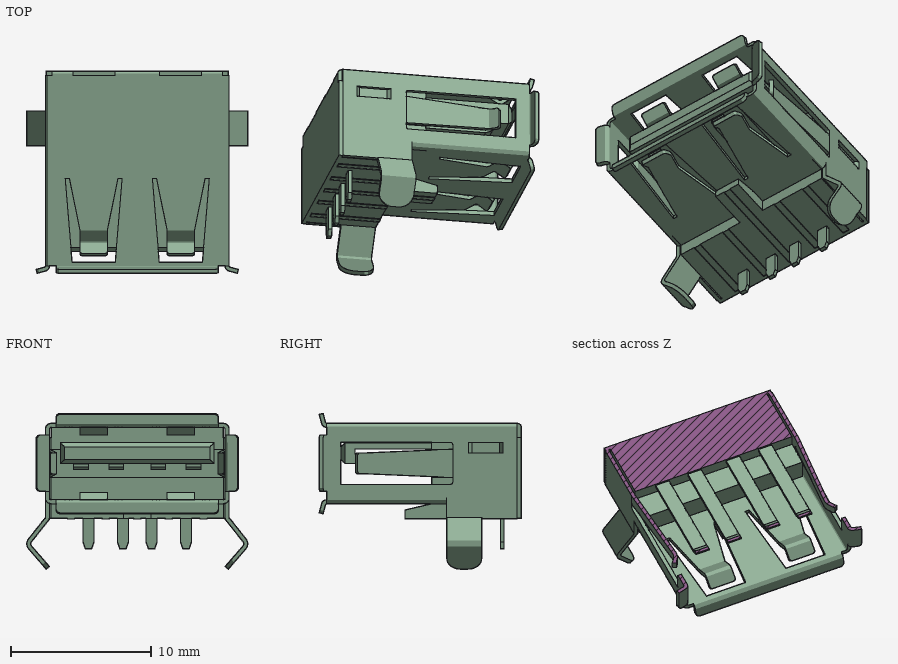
import cadquery as cq
import math


SHEET = 0.3
SHELL_WIDTH = 13.12
SHELL_DEPTH = 13.6
ROOF_TOP = 6.79
FLOOR_BOTTOM = 1.03
FLOOR_DEPTH = 8.57
SHELL_CORNER = 0.43
HALF_SHELL = SHELL_WIDTH / 2
WALL_INSIDE = HALF_SHELL - SHEET
CORNER_INSIDE = SHELL_CORNER - SHEET
ROOF_INSIDE = ROOF_TOP - SHEET
TUNNEL_HEIGHT = ROOF_TOP - FLOOR_BOTTOM
TUNNEL_MIDDLE = (ROOF_TOP + FLOOR_BOTTOM) / 2

BACK_TAB_WIDTH = 12.2
BACK_WIDTH = 13.02
BACK_SHOULDER = 5.77
FOLD_RELIEF_CENTRE = 3.09
FOLD_RELIEF_WIDTH = 3.02

LIP_REACH = 0.54
ROOF_LIP_RISE = 0.71
SIDE_LIP_RISE = 0.67
LIP_ANGLE = math.radians(75)
LIP_ROOT = 0.2
LIP_END_RADIUS = 0.3
ROOF_LIP_WIDTH = 11.58
SIDE_LIP_BOTTOM = 1.93
SIDE_LIP_TOP = 5.95

SPRING_CENTRE = 3.11
SPRING_ROOT = 6.23
SPRING_ROOT_WIDTH = 3.46
SPRING_KNEE = 2.6
SPRING_CREST = 1.65
SPRING_TIP = 0.8
SPRING_TIP_WIDTH = 1.98
SPRING_DIP = 0.59
SPRING_TIP_DIP = 0.0
SPRING_BEND = 0.3
SPRING_CORNER = 0.2
SPRING_SLOT_FRONT = 0.26
SLOT_ROOT_WIDTH = 4.06
SLOT_FRONT_WIDTH = 3.07

WINDOW_FRONT = 1.02
WINDOW_BACK = 9.0
WINDOW_BOTTOM = 2.43
WINDOW_TOP = 5.42
WINDOW_RADIUS = 0.15
SIDE_SPRING_ROOT_HEIGHT = 2.04
SIDE_SPRING_TIP_HEIGHT = 1.5
SIDE_SPRING_CREST = 2.75
SIDE_SPRING_TIP = 2.13
SIDE_SPRING_DIP = 0.5
SIDE_SPRING_TIP_DIP = 0.08
SIDE_SPRING_BEND = 0.75

DIMPLE_FRONT = 10.12
DIMPLE_BACK = 12.6
DIMPLE_BOTTOM = 4.65
DIMPLE_TOP = 5.43
DIMPLE_SLOPE = 0.25
DIMPLE_DEPTH = 0.25

HOOK_FRONT = FLOOR_DEPTH
HOOK_WIDTH = 2.5
HOOK_SPREAD = 7.86
HOOK_KNEE = -1.83
HOOK_END_X = 6.385
HOOK_END_Z = -3.535
HOOK_BEND = 0.4
HOOK_END_RADIUS = 1.0

HOUSING_WIDTH = 12.3
HOUSING_FRONT = 7.49
LEDGE_FRONT = 5.58
LEDGE_SLOPE_START = 7.41
LEDGE_FRONT_TOP = 0.6
RECESS_BOTTOM = 2.93
RECESS_TOP = 4.9
RECESS_BACK = 9.3
LEDGE_WIDTH = 1.98
RIB_WIDTH = 0.52
RIB_HEIGHT = 0.06
RIB_CENTRES = (-4.73, -2.25, 0, 2.25, 4.73)

TONGUE_WIDTH = 10.98
TONGUE_FRONT = 1.02
TONGUE_TOP = 5.4
TONGUE_UNDERSIDE = 4.94
TONGUE_LIP_BOTTOM = 3.9
TONGUE_SHELF_TOP = 4.6
TONGUE_LIP_BACK = 2.04
TONGUE_CHAMFER = 0.3

CONTACT_CENTRES = (-4.02, -1.5, 1.5, 4.02)
CONTACT_WIDTH = 1.05
CONTACT_BOTTOM = 3.47
CONTACT_THICKNESS = 0.2
CONTACT_FRONT = 2.3
CONTACT_TIP_LENGTH = 0.5
CONTACT_TIP_RISE = 0.2
PIN_CENTRES = (-3.48, -1.02, 1.02, 3.48)
PIN_WIDTH = 0.8
PIN_TIP_WIDTH = 0.46
PIN_FRONT = 12.39
PIN_THICKNESS = 0.28
PIN_END = -2.17
PIN_TAPER_START = -1.7
PIN_ROOT = 0.5


def box(x_range, y_range, z_range):
    """Block between two limits on each axis."""
    size = [high - low for low, high in (x_range, y_range, z_range)]
    corner = (x_range[0], y_range[0], z_range[0])
    return cq.Workplane("XY").box(*size, centered=False).translate(corner)


def centred_box(width, y_range, z_range, x_centre=0):
    return box((x_centre - width / 2, x_centre + width / 2), y_range, z_range)


def both_sides(half):
    """Add the mirror image in the plane x = 0."""
    return half.union(half.mirror("YZ"))


def roof_and_floor(half):
    """Add the mirror image in the middle plane of the tunnel."""
    return half.union(half.mirror("XY", (0, 0, TUNNEL_MIDDLE)))


def bent_strip(points, bend_radius, width, across):
    """Strip of sheet along a mid-thickness path, with a round bend at each inner point."""
    corners = [cq.Vector(*point) for point in points]
    edges = []
    start = corners[0]
    for before, corner, after in zip(corners, corners[1:], corners[2:]):
        arriving = (corner - before).normalized()
        leaving = (after - corner).normalized()
        trim = bend_radius * math.tan(arriving.getAngle(leaving) / 2)
        arc_start = corner - arriving * trim
        arc_end = corner + leaving * trim
        edges.append(cq.Edge.makeLine(start, arc_start))
        edges.append(cq.Edge.makeTangentArc(arc_start, arriving, arc_end))
        start = arc_end
    edges.append(cq.Edge.makeLine(start, corners[-1]))
    path = cq.Wire.assembleEdges(edges)
    section = cq.Plane(origin=points[0], xDir=across, normal=(corners[1] - corners[0]).toTuple())
    return cq.Workplane(section).rect(width, SHEET).sweep(cq.Workplane(obj=path))


def round_end(strip, points, across, width, radius):
    """Round both corners at the far end of a strip, square to its last leg."""
    leg = cq.Vector(*points[-1]) - cq.Vector(*points[-2])
    normal = leg.cross(cq.Vector(*across)).normalized()
    flat = cq.Plane(origin=points[-1], xDir=leg.toTuple(), normal=normal.toTuple())
    diagonal = radius * math.sqrt(0.5)
    for side in (-1, 1):
        arc_centre_y = side * (width / 2 - radius)
        corner = cq.Workplane(flat).moveTo(0, side * width / 2).lineTo(-radius, side * width / 2)
        corner = corner.threePointArc((diagonal - radius, arc_centre_y + side * diagonal), (0, arc_centre_y))
        strip = strip.cut(corner.close().extrude(SHEET, both=True))
    return strip


def shell_body():
    outer = cq.Workplane("XZ").center(0, TUNNEL_MIDDLE).rect(SHELL_WIDTH, TUNNEL_HEIGHT)
    outer = outer.extrude(-FLOOR_DEPTH).edges("|Y").fillet(SHELL_CORNER)
    cover = centred_box(SHELL_WIDTH, (FLOOR_DEPTH, SHELL_DEPTH), (0, ROOF_TOP))
    cover = cover.edges("|Y and >Z").fillet(SHELL_CORNER)

    width_inside = SHELL_WIDTH - 2 * SHEET
    tunnel_inside = TUNNEL_HEIGHT - 2 * SHEET
    tunnel = cq.Workplane("XZ").center(0, TUNNEL_MIDDLE).rect(width_inside, tunnel_inside)
    tunnel = tunnel.extrude(-FLOOR_DEPTH).edges("|Y").fillet(CORNER_INSIDE)
    cavity = centred_box(width_inside, (FLOOR_DEPTH, SHELL_DEPTH), (0, ROOF_INSIDE))
    cavity = cavity.edges("|Y and >Z").fillet(CORNER_INSIDE)
    return outer.union(cover).cut(tunnel).cut(cavity)


def back_plate():
    depth = (SHELL_DEPTH, SHELL_DEPTH + SHEET)
    tab = centred_box(BACK_TAB_WIDTH, depth, (0, ROOF_TOP))
    fold = centred_box(BACK_TAB_WIDTH, depth, (ROOF_INSIDE, ROOF_TOP))
    bend = cq.Workplane("YZ", (-BACK_TAB_WIDTH / 2, SHELL_DEPTH, ROOF_INSIDE))
    bend = bend.circle(SHEET).extrude(BACK_TAB_WIDTH)
    plate = tab.cut(fold.cut(bend))
    plate = plate.union(centred_box(BACK_WIDTH, depth, (0, BACK_SHOULDER)))
    for centre in (-FOLD_RELIEF_CENTRE, FOLD_RELIEF_CENTRE):
        plate = plate.cut(centred_box(FOLD_RELIEF_WIDTH, depth, (ROOF_INSIDE, ROOF_TOP), centre))
    return plate


def lip_strip(rise, width):
    """Lip standing on the face z = 0, its bend starting at the mouth of the shell."""
    middle = -SHEET / 2
    end_outward = rise - SHEET / 2 * math.cos(LIP_ANGLE)
    end_y = -LIP_REACH + SHEET / 2 * math.sin(LIP_ANGLE)
    bend_y = end_y + (end_outward - middle) / math.tan(LIP_ANGLE)
    bend_radius = -bend_y / math.tan(LIP_ANGLE / 2)
    path = ((0, LIP_ROOT, middle), (0, bend_y, middle), (0, end_y, end_outward))
    strip = bent_strip(path, bend_radius, width, (1, 0, 0))
    return round_end(strip, path, (1, 0, 0), width, LIP_END_RADIUS)


def lips():
    roof_lip = lip_strip(ROOF_LIP_RISE, ROOF_LIP_WIDTH).translate((0, 0, ROOF_TOP))
    side_lip = lip_strip(SIDE_LIP_RISE, SIDE_LIP_TOP - SIDE_LIP_BOTTOM)
    side_lip = side_lip.rotate((0, 0, 0), (0, 1, 0), -90)
    side_lip = side_lip.translate((-HALF_SHELL, 0, (SIDE_LIP_TOP + SIDE_LIP_BOTTOM) / 2))
    return roof_and_floor(roof_lip).union(both_sides(side_lip))


def spring_slots():
    outline = (
        (-SLOT_ROOT_WIDTH / 2, SPRING_ROOT),
        (SLOT_ROOT_WIDTH / 2, SPRING_ROOT),
        (SLOT_FRONT_WIDTH / 2, SPRING_SLOT_FRONT),
        (-SLOT_FRONT_WIDTH / 2, SPRING_SLOT_FRONT),
    )
    slot = cq.Workplane("XY", (SPRING_CENTRE, 0, ROOF_INSIDE)).polyline(outline).close()
    return roof_and_floor(both_sides(slot.extrude(SHEET)))


def springs():
    level = ROOF_TOP - SHEET / 2
    path = (
        (SPRING_CENTRE, SPRING_ROOT, level),
        (SPRING_CENTRE, SPRING_KNEE, level),
        (SPRING_CENTRE, SPRING_CREST, level - SPRING_DIP),
        (SPRING_CENTRE, SPRING_TIP, level - SPRING_TIP_DIP),
    )
    strip = bent_strip(path, SPRING_BEND, SPRING_ROOT_WIDTH, (1, 0, 0))
    tip_end = SPRING_TIP - SHEET / 2
    outline = (
        (-SPRING_ROOT_WIDTH / 2, SPRING_ROOT),
        (SPRING_ROOT_WIDTH / 2, SPRING_ROOT),
        (SPRING_TIP_WIDTH / 2, SPRING_KNEE),
        (SPRING_TIP_WIDTH / 2, tip_end),
        (-SPRING_TIP_WIDTH / 2, tip_end),
        (-SPRING_TIP_WIDTH / 2, SPRING_KNEE),
    )
    trim = cq.Workplane("XY", (SPRING_CENTRE, 0, 0)).polyline(outline).close().extrude(2 * ROOF_TOP)
    spring = round_end(strip.intersect(trim), path, (1, 0, 0), SPRING_TIP_WIDTH, SPRING_CORNER)
    return roof_and_floor(both_sides(spring))


def side_windows():
    window = box((-HALF_SHELL, -WALL_INSIDE), (WINDOW_FRONT, WINDOW_BACK), (WINDOW_BOTTOM, WINDOW_TOP))
    return both_sides(window.edges("|X and >Y").fillet(WINDOW_RADIUS))


def side_springs():
    level = -HALF_SHELL + SHEET / 2
    middle = (WINDOW_BOTTOM + WINDOW_TOP) / 2
    path = (
        (level, WINDOW_BACK + SHEET, middle),
        (level, WINDOW_BACK, middle),
        (level + SIDE_SPRING_DIP, SIDE_SPRING_CREST, middle),
        (level + SIDE_SPRING_TIP_DIP, SIDE_SPRING_TIP, middle),
    )
    strip = bent_strip(path, SIDE_SPRING_BEND, SIDE_SPRING_ROOT_HEIGHT, (0, 0, 1))
    tip_end = SIDE_SPRING_TIP - SHEET / 2
    root_end = WINDOW_BACK + SHEET
    outline = (
        (root_end, -SIDE_SPRING_ROOT_HEIGHT / 2),
        (root_end, SIDE_SPRING_ROOT_HEIGHT / 2),
        (WINDOW_BACK, SIDE_SPRING_ROOT_HEIGHT / 2),
        (SIDE_SPRING_CREST, SIDE_SPRING_TIP_HEIGHT / 2),
        (tip_end, SIDE_SPRING_TIP_HEIGHT / 2),
        (tip_end, -SIDE_SPRING_TIP_HEIGHT / 2),
        (SIDE_SPRING_CREST, -SIDE_SPRING_TIP_HEIGHT / 2),
        (WINDOW_BACK, -SIDE_SPRING_ROOT_HEIGHT / 2),
    )
    trim = cq.Workplane("YZ", (-HALF_SHELL, 0, middle)).polyline(outline).close().extrude(HALF_SHELL)
    spring = strip.intersect(trim)
    return both_sides(round_end(spring, path, (0, 0, 1), SIDE_SPRING_TIP_HEIGHT, SPRING_CORNER))


def side_dimples():
    """Sunken pads in the side walls, sloped at the front and back."""
    outline = (
        (-HALF_SHELL, DIMPLE_FRONT),
        (-HALF_SHELL + DIMPLE_DEPTH, DIMPLE_FRONT + DIMPLE_SLOPE),
        (-HALF_SHELL + DIMPLE_DEPTH, DIMPLE_BACK - DIMPLE_SLOPE),
        (-HALF_SHELL, DIMPLE_BACK),
    )
    dimple = cq.Workplane("XY", (0, 0, DIMPLE_BOTTOM)).polyline(outline).close()
    return both_sides(dimple.extrude(DIMPLE_TOP - DIMPLE_BOTTOM))


def board_hooks():
    level = -HALF_SHELL + SHEET / 2
    middle = HOOK_FRONT + HOOK_WIDTH / 2
    path = (
        (level, middle, 0),
        (-HOOK_SPREAD, middle, HOOK_KNEE),
        (-HOOK_END_X, middle, HOOK_END_Z),
    )
    strip = bent_strip(path, HOOK_BEND, HOOK_WIDTH, (0, 1, 0))
    strip = round_end(strip, path, (0, 1, 0), HOOK_WIDTH, HOOK_END_RADIUS)
    elbow = cq.Workplane("XZ", (level, HOOK_FRONT, 0)).circle(SHEET / 2).extrude(-HOOK_WIDTH)
    return both_sides(strip.union(elbow))


def housing():
    body = centred_box(HOUSING_WIDTH, (HOUSING_FRONT, SHELL_DEPTH), (FLOOR_BOTTOM, ROOF_INSIDE))
    base = centred_box(HOUSING_WIDTH, (FLOOR_DEPTH, SHELL_DEPTH), (0, FLOOR_BOTTOM))
    recess = centred_box(HOUSING_WIDTH, (HOUSING_FRONT, RECESS_BACK), (RECESS_BOTTOM, RECESS_TOP))
    ledge_outline = (
        (FLOOR_DEPTH, 0),
        (FLOOR_DEPTH, FLOOR_BOTTOM),
        (LEDGE_SLOPE_START, FLOOR_BOTTOM),
        (LEDGE_FRONT, LEDGE_FRONT_TOP),
        (LEDGE_FRONT, 0),
    )
    ledge = cq.Workplane("YZ", (-LEDGE_WIDTH / 2, 0, 0)).polyline(ledge_outline).close()
    ledge = ledge.extrude(LEDGE_WIDTH)
    body = body.cut(recess).union(base).union(ledge)
    for centre in RIB_CENTRES:
        front = LEDGE_FRONT if abs(centre) < LEDGE_WIDTH / 2 else FLOOR_DEPTH
        body = body.union(centred_box(RIB_WIDTH, (front, SHELL_DEPTH), (-RIB_HEIGHT, 0), centre))
    return body


def tongue():
    lip = centred_box(TONGUE_WIDTH, (TONGUE_FRONT, TONGUE_LIP_BACK), (TONGUE_LIP_BOTTOM, TONGUE_TOP))
    lip = lip.faces("<Y").chamfer(TONGUE_CHAMFER)
    blade = centred_box(TONGUE_WIDTH, (TONGUE_LIP_BACK, HOUSING_FRONT), (TONGUE_UNDERSIDE, TONGUE_TOP))
    shelf_range = (TONGUE_LIP_BACK, RECESS_BACK)
    shelf = centred_box(TONGUE_WIDTH, shelf_range, (TONGUE_LIP_BOTTOM, TONGUE_SHELF_TOP))
    return lip.union(blade).union(shelf)


def contacts():
    """Spring blades under the tongue, each with a turned-up tip."""
    top = CONTACT_BOTTOM + CONTACT_THICKNESS
    bend = CONTACT_FRONT + CONTACT_TIP_LENGTH
    outline = (
        (RECESS_BACK, CONTACT_BOTTOM),
        (RECESS_BACK, top),
        (bend, top),
        (CONTACT_FRONT, top + CONTACT_TIP_RISE),
        (CONTACT_FRONT, CONTACT_BOTTOM + CONTACT_TIP_RISE),
        (bend, CONTACT_BOTTOM),
    )
    blade = cq.Workplane("YZ", (-CONTACT_WIDTH / 2, 0, 0)).polyline(outline).close().extrude(CONTACT_WIDTH)
    blades = cq.Workplane("XY")
    for centre in CONTACT_CENTRES:
        blades = blades.union(blade.translate((centre, 0, 0)))
    return blades


def pins():
    outline = (
        (-PIN_WIDTH / 2, PIN_ROOT),
        (PIN_WIDTH / 2, PIN_ROOT),
        (PIN_WIDTH / 2, PIN_TAPER_START),
        (PIN_TIP_WIDTH / 2, PIN_END),
        (-PIN_TIP_WIDTH / 2, PIN_END),
        (-PIN_WIDTH / 2, PIN_TAPER_START),
    )
    pin = cq.Workplane("XZ", (0, PIN_FRONT, 0)).polyline(outline).close().extrude(-PIN_THICKNESS)
    row = cq.Workplane("XY")
    for centre in PIN_CENTRES:
        row = row.union(pin.translate((centre, 0, 0)))
    return row


shell = shell_body().cut(spring_slots()).cut(side_windows())
shell = shell.union(back_plate()).union(lips()).union(springs()).union(side_springs()).union(board_hooks())
insert = housing().union(tongue()).union(contacts()).union(pins())
result = shell.union(insert).cut(side_dimples())